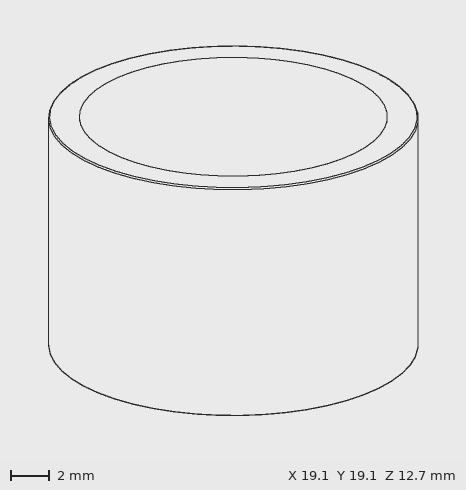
import cadquery as cq

outer_diameter = 19.05
bore_diameter = 15.87
height = 12.7

chamfer_height = 0.1
chamfer_width = 0.05

outer_radius = outer_diameter / 2
bore_radius = bore_diameter / 2

wall_section = [
    (bore_radius, 0),
    (outer_radius, 0),
    (outer_radius, height - chamfer_height),
    (outer_radius - chamfer_width, height),
    (bore_radius, height),
]

result = cq.Workplane("XZ").polyline(wall_section).close().revolve(360, (0, 0), (0, 1))